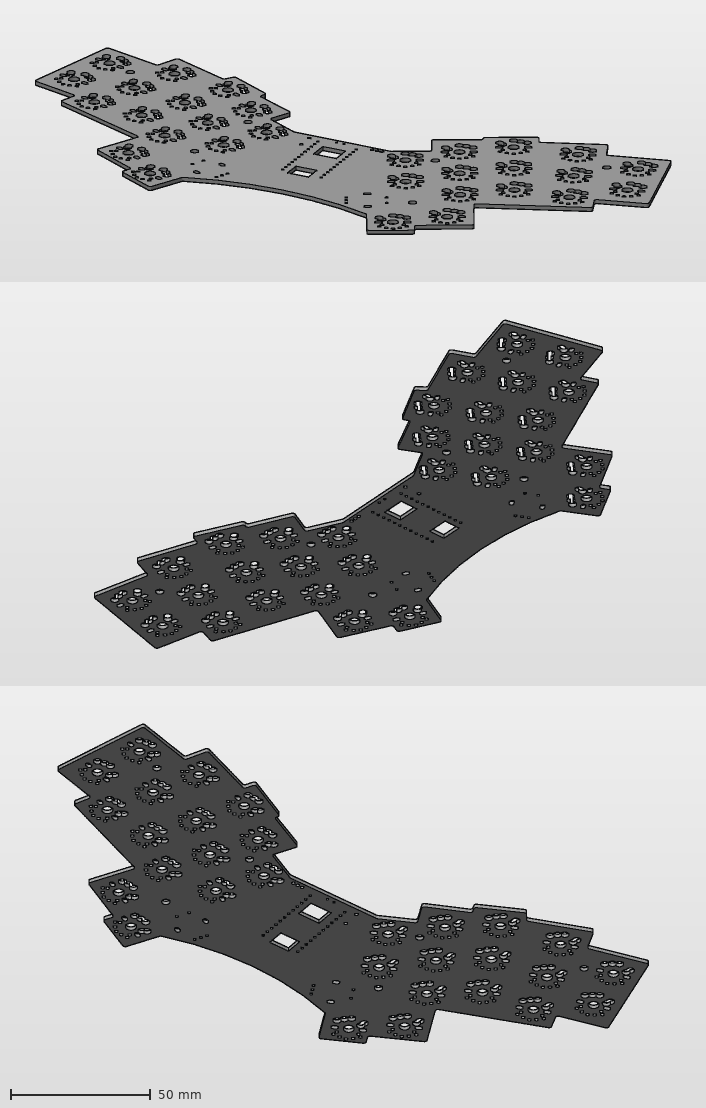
import cadquery as cq
import math

LENGTH = 245.0
WIDTH = 106.5
THICKNESS = 1.6
CORNER_RADIUS = 1.0

OUTER_TILT = 15
SECOND_TILT = 22
INNER_TILT = 27

RIGHT_STEP = ((27.7, 29.5), (44.0, 37.5), (61.0, 48.5))
LEFT_STEP = ((28.2, 28.7), (44.5, 36.5), (60.3, 48.0))

ARC_END = (36.7, -40.7)
ARC_TOP = (0, -34.8)

PATTERN_X = -0.17
PATTERN_Y = 0.12
KEY_PITCH = 19.0

KEY_COLUMNS = [
    (OUTER_TILT, 2, (105.5, 38.7)),
    (SECOND_TILT, 3, (80.5, 40.7)),
    (INNER_TILT, 3, (57.0, 36.3)),
    (INNER_TILT, 3, (41.6, 23.8)),
    (INNER_TILT, 2, (27.7, 8.5)),
    (INNER_TILT, 1, (63.7, -30.0)),
    (INNER_TILT, 1, (48.5, -42.9)),
]

STEM_DIAMETER = 4.0
SOCKET_DIAMETER = 3.0
SIDE_SLOT_LENGTH = 2.7
SIDE_SLOT_WIDTH = 1.7
WIDE_PIN_DIAMETER = 1.3
NARROW_PIN_DIAMETER = 1.27
SIDE_SLOT_X = 5.1
TOP_PIN = (0, 6.0)
DIAGONAL_PIN = (5.0, 4.0)
STEEP_PIN = (2.5, 5.1)
SHALLOW_PIN = (4.0, 2.5)

ENCODER_CENTRE = (31.5, -29.5)
ENCODER_TAB_LENGTH = 2.7
ENCODER_TAB_WIDTH = 1.7
ENCODER_TAB_Y = 5.6
ENCODER_SWITCH_X = 6.9
ENCODER_SWITCH_Y = 2.5
ENCODER_PIN_X = 7.5
ENCODER_PIN_PITCH = 2.5
ENCODER_PIN_DIAMETER = 1.0

CONTROLLER_PIN_DIAMETER = 0.9
CONTROLLER_PIN_PITCH = 2.55
CONTROLLER_PIN_COUNT = 12
CONTROLLER_ROW_SPACING = 15.5
CONTROLLER_TOP_Y = 9.5

UPPER_WINDOW = (9.0, 7.3, (0.2, 2.7))
LOWER_WINDOW = (8.3, 6.5, (-0.85, -17.0))

CONNECTOR_HOLES = [(-1.5, 11.8), (1.5, 11.8)]
CONNECTOR_DIAMETER = 0.8
SWITCH_CENTRE = (14.7, 11.8)
SWITCH_PIN_PITCH = 2.0
SWITCH_PIN_COUNT = 3
SWITCH_PIN_DIAMETER = 1.27
BUTTON_HOLES = [(-12.0, 11.0), (-12.0, 4.7)]
BUTTON_DIAMETER = 1.3

SCREW_DIAMETER = 3.0
SCREW_HOLES = [(-95.5, 35.0), (94.8, 35.0), (-38.0, 14.0), (37.2, 13.2), (-43.4, -18.0), (46.8, -24.0)]


def corner_inset(tilt):
    """Length a tilted square corner loses, along an axis, when it is rounded."""
    angle = math.radians(tilt)
    return CORNER_RADIUS * (math.cos(angle) + math.sin(angle) - 1)


def hole(x, y, diameter):
    return cq.Workplane("XY").center(x, y).circle(diameter / 2).extrude(THICKNESS)


def box(x, y, width, height):
    return cq.Workplane("XY").center(x, y).rect(width, height).extrude(THICKNESS)


def slot(x, y, length, width):
    return cq.Workplane("XY").center(x, y).slot2D(length, width).extrude(THICKNESS)


def merged(cutters):
    total = cutters[0]
    for cutter in cutters[1:]:
        total = total.union(cutter)
    return total


def placed(cutter, x, y, angle):
    return cutter.rotate((0, 0, 0), (0, 0, 1), angle).translate((x, y, 0))


def half_outline(step_end, step_foot, bump_tip):
    """Right half, from the bridge's top edge round to the arc."""
    side_x = LENGTH / 2 + corner_inset(OUTER_TILT)
    peak_y = WIDTH / 2 + corner_inset(SECOND_TILT)
    tip_y = -WIDTH / 2 - corner_inset(INNER_TILT)
    return [
        (19.4, 13.5),
        (32.3, 20.0),
        step_end,
        step_foot,
        (43.4, 39.5),
        bump_tip,
        (63.0, 44.3),
        (86.0, peak_y),
        (89.7, 44.8),
        (112.7, 51.0),
        (side_x, 12.7),
        (103.5, 7.5),
        (106.3, 0.7),
        (66.9, -15.2),
        (75.5, -32.0),
        (56.5, -42.0),
        (58.5, -45.8),
        (43.4, tip_y),
        ARC_END,
    ]


def plate():
    right = half_outline(*RIGHT_STEP)
    left = [(-x, y) for x, y in reversed(half_outline(*LEFT_STEP))]
    outline = (
        cq.Workplane("XY")
        .polyline(right)
        .threePointArc(ARC_TOP, left[0])
        .polyline(left[1:], includeCurrent=True)
        .close()
    )
    return outline.extrude(THICKNESS).edges("|Z").fillet(CORNER_RADIUS)


def key_socket():
    holes = [hole(0, 0, STEM_DIAMETER)]
    for side in (-1, 1):
        holes.append(slot(side * SIDE_SLOT_X, 0, SIDE_SLOT_LENGTH, SIDE_SLOT_WIDTH))

    mirrored_shallow = (-SHALLOW_PIN[0], SHALLOW_PIN[1])
    mirrored_diagonal = (-DIAGONAL_PIN[0], DIAGONAL_PIN[1])
    for x, y in (TOP_PIN, STEEP_PIN, DIAGONAL_PIN, mirrored_diagonal, mirrored_shallow):
        holes.append(hole(x, y, SOCKET_DIAMETER))

    holes.append(hole(TOP_PIN[0], -TOP_PIN[1], NARROW_PIN_DIAMETER))
    for side in (-1, 1):
        holes.append(hole(side * DIAGONAL_PIN[0], -DIAGONAL_PIN[1], NARROW_PIN_DIAMETER))
        for x, y in (STEEP_PIN, SHALLOW_PIN):
            holes.append(hole(side * x, -y, WIDE_PIN_DIAMETER))
    return merged(holes)


def encoder_footprint():
    """Right-hand encoder: switch pins on its outer side, signal pins on its inner side."""
    cutters = []
    for end in (-1, 1):
        cutters.append(slot(0, end * ENCODER_TAB_Y, ENCODER_TAB_LENGTH, ENCODER_TAB_WIDTH))
        cutters.append(hole(ENCODER_SWITCH_X, end * ENCODER_SWITCH_Y, ENCODER_PIN_DIAMETER))
    for step in (-1, 0, 1):
        cutters.append(hole(-ENCODER_PIN_X, step * ENCODER_PIN_PITCH, ENCODER_PIN_DIAMETER))
    return merged(cutters)


def key_cutters():
    socket = key_socket()
    cutters = []
    for tilt, count, (top_x, top_y) in KEY_COLUMNS:
        angle = math.radians(tilt)
        for row in range(count):
            x = top_x + row * KEY_PITCH * math.sin(angle)
            y = top_y - row * KEY_PITCH * math.cos(angle)
            for side in (-1, 1):
                cutters.append(placed(socket, PATTERN_X + side * x, PATTERN_Y + y, side * tilt))
    return cutters


def encoder_cutters():
    right = placed(encoder_footprint(), *ENCODER_CENTRE, INNER_TILT)
    left = right.mirror("YZ")
    return [part.translate((PATTERN_X, PATTERN_Y, 0)) for part in (right, left)]


def controller_cutters():
    cutters = []
    for row in range(CONTROLLER_PIN_COUNT):
        y = CONTROLLER_TOP_Y - row * CONTROLLER_PIN_PITCH
        for side in (-1, 1):
            x = PATTERN_X + side * CONTROLLER_ROW_SPACING / 2
            cutters.append(hole(x, y, CONTROLLER_PIN_DIAMETER))
    for width, height, (x, y) in (UPPER_WINDOW, LOWER_WINDOW):
        cutters.append(box(x, y, width, height))
    return cutters


def accessory_cutters():
    cutters = [hole(x, y, CONNECTOR_DIAMETER) for x, y in CONNECTOR_HOLES]
    cutters += [hole(x, y, BUTTON_DIAMETER) for x, y in BUTTON_HOLES]
    cutters += [hole(x, y, SCREW_DIAMETER) for x, y in SCREW_HOLES]
    for pin in range(SWITCH_PIN_COUNT):
        x = SWITCH_CENTRE[0] + (pin - (SWITCH_PIN_COUNT - 1) / 2) * SWITCH_PIN_PITCH
        cutters.append(hole(x, SWITCH_CENTRE[1], SWITCH_PIN_DIAMETER))
    return cutters


all_cutters = key_cutters() + encoder_cutters() + controller_cutters() + accessory_cutters()
solids = [solid for cutter in all_cutters for solid in cutter.solids().vals()]
result = plate().cut(cq.Compound.makeCompound(solids))